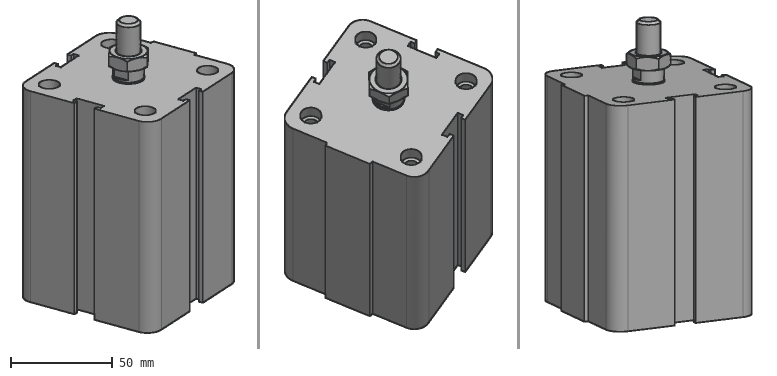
import cadquery as cq
import math


BODY_SIDE = 80.0
BODY_HEIGHT = 115.1
CORNER_RADIUS = 8.0
HALF_SIDE = BODY_SIDE / 2

RAIL_HEIGHT = 2.0
RAIL_BASE_WIDTH = 25.8
RAIL_TOP_WIDTH = 25.0

SLOT_MOUTH_WIDTH = 11.7
SLOT_INNER_WIDTH = 16.3
SLOT_LIP = 2.3
SLOT_DEPTH = 5.4
SLOT_ANGLES = (-90, 0, 90)

HOLE_PITCH = 56.5
COUNTERBORE_DIAMETER = 10.5
COUNTERBORE_DEPTH = 6.5
PILOT_DIAMETER = 6.6
PILOT_DEPTH = 15.0

NUT_ACROSS_FLATS = 19.0
NUT_HEIGHT = 7.0
NUT_BOTTOM = 122.6
NUT_FACE_DIAMETER = 18.8
NUT_CHAMFER_ANGLE = 30
NUT_COUNTERSINK_DIAMETER = 13.0

ROD_TOP = 146.5
THREAD_DIAMETER = 12.0
THREAD_CHAMFER = 1.39
NECK_DIAMETER = 15.5
NECK_CHAMFER = 0.5
FOOT_DIAMETER = 16.0
FOOT_RIM_HEIGHT = 0.5
FOOT_HEIGHT = 0.7
FLATS_WIDTH = 13.0
FLATS_BOTTOM = BODY_HEIGHT + 1.9


def make_rail():
    root_y = HALF_SIDE - RAIL_HEIGHT
    crest_y = HALF_SIDE + RAIL_HEIGHT
    half_base = RAIL_BASE_WIDTH / 2
    half_top = RAIL_TOP_WIDTH / 2
    outline = [
        (-half_base, root_y),
        (half_base, root_y),
        (half_base, HALF_SIDE),
        (half_top, crest_y),
        (-half_top, crest_y),
        (-half_base, HALF_SIDE),
    ]
    return cq.Workplane("XY").polyline(outline).close().extrude(BODY_HEIGHT)


def make_slot_cutter():
    mouth = cq.Workplane("XY").box(
        SLOT_MOUTH_WIDTH, SLOT_DEPTH, BODY_HEIGHT, centered=(True, False, False)
    )
    inner = cq.Workplane("XY").box(
        SLOT_INNER_WIDTH, SLOT_DEPTH - SLOT_LIP, BODY_HEIGHT, centered=(True, False, False)
    )
    return mouth.union(inner.translate((0, SLOT_LIP, 0))).translate((0, -HALF_SIDE, 0))


def make_housing():
    block = (
        cq.Workplane("XY")
        .rect(BODY_SIDE, BODY_SIDE)
        .extrude(BODY_HEIGHT)
        .edges("|Z")
        .fillet(CORNER_RADIUS)
    )
    body = block.union(make_rail())
    slot = make_slot_cutter()
    for angle in SLOT_ANGLES:
        body = body.cut(slot.rotate((0, 0, 0), (0, 0, 1), angle))
    return (
        body.faces(">Z")
        .workplane(origin=(0, 0, BODY_HEIGHT))
        .rect(HOLE_PITCH, HOLE_PITCH, forConstruction=True)
        .vertices()
        .cboreHole(PILOT_DIAMETER, COUNTERBORE_DIAMETER, COUNTERBORE_DEPTH, PILOT_DEPTH)
    )


def make_rod():
    neck_radius = NECK_DIAMETER / 2
    foot_radius = FOOT_DIAMETER / 2
    thread_radius = THREAD_DIAMETER / 2
    half_profile = [
        (0, BODY_HEIGHT),
        (foot_radius, BODY_HEIGHT),
        (foot_radius, BODY_HEIGHT + FOOT_RIM_HEIGHT),
        (neck_radius, BODY_HEIGHT + FOOT_HEIGHT),
        (neck_radius, NUT_BOTTOM - NECK_CHAMFER),
        (neck_radius - NECK_CHAMFER, NUT_BOTTOM),
        (thread_radius, NUT_BOTTOM),
        (thread_radius, ROD_TOP - THREAD_CHAMFER),
        (thread_radius - THREAD_CHAMFER, ROD_TOP),
        (0, ROD_TOP),
    ]
    rod = cq.Workplane("XZ").polyline(half_profile).close().revolve(360, (0, 0), (0, 1))

    flats_height = NUT_BOTTOM - FLATS_BOTTOM
    for side in (-1, 1):
        cutter = (
            cq.Workplane("XY")
            .box(NECK_DIAMETER, NECK_DIAMETER, flats_height, centered=(True, True, False))
            .translate((0, side * (FLATS_WIDTH + NECK_DIAMETER) / 2, FLATS_BOTTOM))
        )
        rod = rod.cut(cutter)
    return rod


def make_nut():
    corner_radius = NUT_ACROSS_FLATS / math.sqrt(3)
    face_radius = NUT_FACE_DIAMETER / 2
    chamfer_height = (corner_radius - face_radius) * math.tan(math.radians(NUT_CHAMFER_ANGLE))
    nut_top = NUT_BOTTOM + NUT_HEIGHT
    prism = (
        cq.Workplane("XY", origin=(0, 0, NUT_BOTTOM))
        .polygon(6, 2 * corner_radius)
        .extrude(NUT_HEIGHT)
    )
    bore_radius = THREAD_DIAMETER / 2
    sink_radius = NUT_COUNTERSINK_DIAMETER / 2
    sink_depth = sink_radius - bore_radius
    half_profile = [
        (bore_radius, NUT_BOTTOM + sink_depth),
        (sink_radius, NUT_BOTTOM),
        (face_radius, NUT_BOTTOM),
        (corner_radius, NUT_BOTTOM + chamfer_height),
        (corner_radius, nut_top - chamfer_height),
        (face_radius, nut_top),
        (sink_radius, nut_top),
        (bore_radius, nut_top - sink_depth),
    ]
    envelope = cq.Workplane("XZ").polyline(half_profile).close().revolve(360, (0, 0), (0, 1))
    return prism.intersect(envelope)


housing = make_housing()
rod = make_rod()
nut = make_nut()

result = cq.Compound.makeCompound([housing.val(), rod.val(), nut.val()])